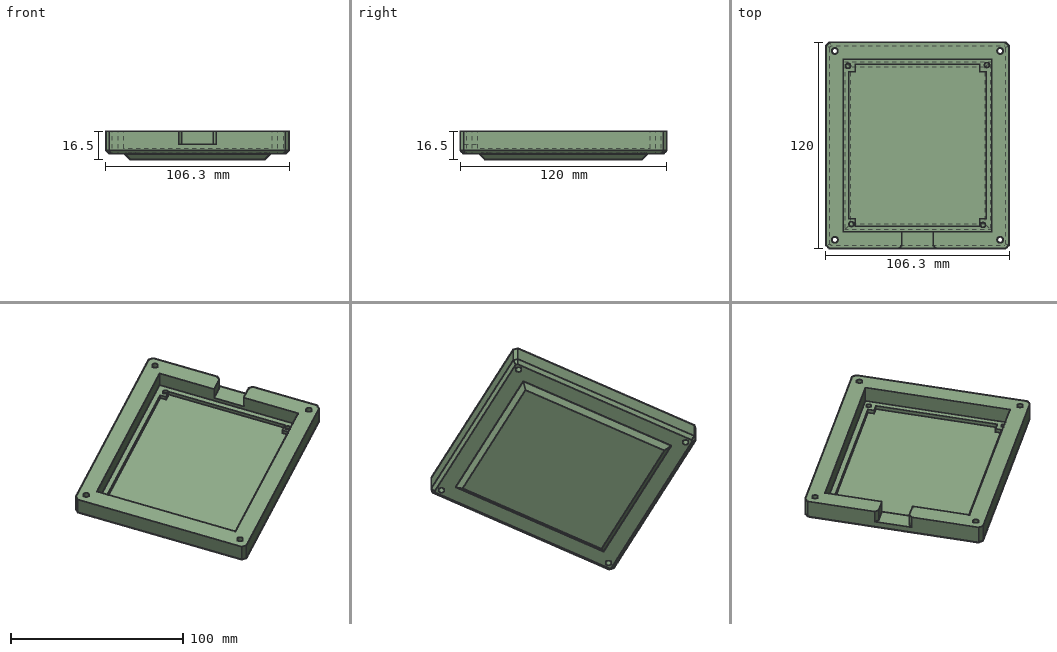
import cadquery as cq

width = 106.3
length = 120.0
total_height = 16.5
body_height = 13.2
edge_chamfer = 2.0

pad_width = 84.2
pad_length = 97.2
pad_chamfer = 3.0

wall = 10.0
ledge_depth = 10.0
floor_depth = 12.4
ledge_side = 3.2
ledge_end = 3.0
corner_block_width = 3.7
corner_block_length = 4.3

notch_width = 18.4
notch_depth = 7.5
notch_flare = 1.8

mount_hole_diameter = 3.4
mount_hole_inset = 5.2
board_hole_diameter = 2.9
board_hole_depth = floor_depth - ledge_depth
board_hole_centers = [(-40.3, 46.2), (40.3, 46.7), (-38.4, -45.7), (38.0, -46.2)]

pocket_width = width - 2 * wall
pocket_length = length - 2 * wall
recess_width = pocket_width - 2 * ledge_side
recess_length = pocket_length - 2 * ledge_end


def block_down(size_x, size_y, top, depth):
    """Centred block reaching down from height top."""
    return cq.Workplane("XY", origin=(0, 0, top)).rect(size_x, size_y).extrude(-depth)


def make_body():
    body = block_down(width, length, 0, body_height)
    return body.edges("|Z").chamfer(edge_chamfer).faces("<Z").edges().chamfer(edge_chamfer)


def make_pad():
    pad = block_down(pad_width, pad_length, -body_height, total_height - body_height)
    return pad.faces("<Z").edges().chamfer(pad_chamfer)


def make_pocket():
    """Upper pocket plus a deeper cross-shaped recess that leaves the corner blocks."""
    upper = block_down(pocket_width, pocket_length, 0, ledge_depth)
    long_arm = block_down(recess_width - 2 * corner_block_width, recess_length, 0, floor_depth)
    wide_arm = block_down(recess_width, recess_length - 2 * corner_block_length, 0, floor_depth)
    return upper.union(long_arm).union(wide_arm)


def make_notch():
    """Opening in the front wall that flares at the outer face."""
    inner = notch_width / 2
    outer = inner + notch_flare
    front = -length / 2
    flare_start = front + notch_flare
    inside = -pocket_length / 2
    outline = [
        (-inner, inside),
        (-inner, flare_start),
        (-outer, front),
        (outer, front),
        (inner, flare_start),
        (inner, inside),
    ]
    return cq.Workplane("XY").polyline(outline).close().extrude(-notch_depth)


def make_mount_holes():
    spacing_x = width - 2 * mount_hole_inset
    spacing_y = length - 2 * mount_hole_inset
    corners = cq.Workplane("XY").rect(spacing_x, spacing_y, forConstruction=True).vertices()
    return corners.circle(mount_hole_diameter / 2).extrude(-total_height)


def make_board_holes():
    """Blind holes in the ledge, ending level with the recess floor."""
    ledge = cq.Workplane("XY", origin=(0, 0, -ledge_depth))
    return ledge.pushPoints(board_hole_centers).circle(board_hole_diameter / 2).extrude(-board_hole_depth)


result = make_body().union(make_pad())
for cutter in (make_pocket(), make_notch(), make_mount_holes(), make_board_holes()):
    result = result.cut(cutter)